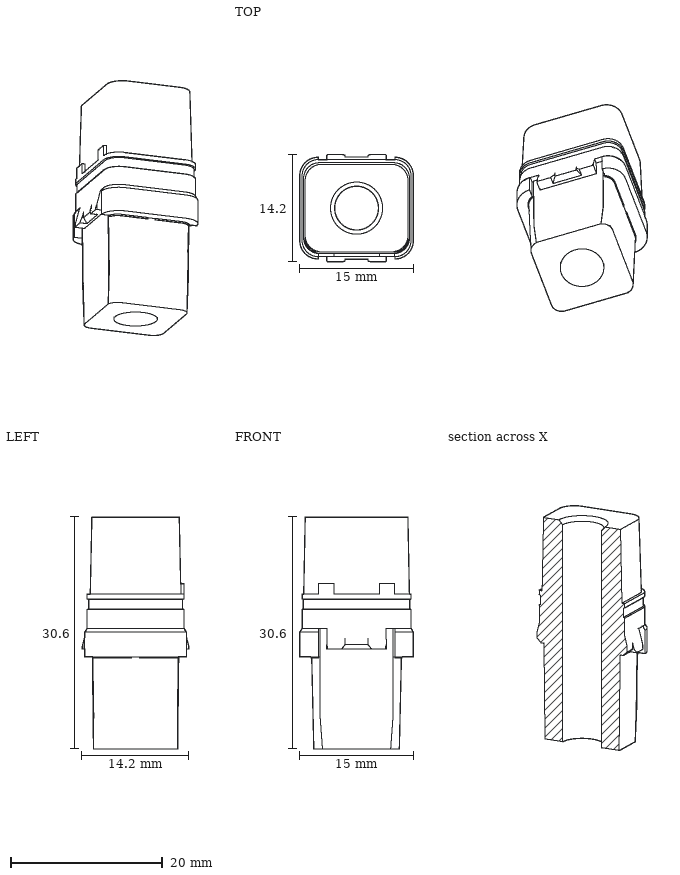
import cadquery as cq

HEAD_TOP = (13.57, 11.55, 2.17)
HEAD_BASE = (13.97, 11.98, 2.08)
BAND = (14.37, 12.8, 2.15)
GROOVE = (14.05, 12.4, 1.95)
SKIRT = (15.0, 13.45, 2.45)
TAIL_TOP = (11.85, 11.35, 1.45)
TAIL_BASE = (11.3, 11.13, 1.45)
COLLAR_LIP = 0.1

HEAD_TOP_Z = 30.57
BAND_TOP_Z = 20.42
GROOVE_TOP_Z = 19.8
GROOVE_BASE_Z = 18.4
GROOVE_WALL = 0.1
BAND_BASE_Z = 15.93
SKIRT_TOP_Z = 15.4
SKIRT_BASE_Z = 12.17
COLLAR_BASE_Z = 11.98

BORE_DIAMETER = 5.75
MOUTH_DIAMETER = 6.88
MOUTH_DEPTH = 0.6

PANEL_TOP_WIDTH = 9.65
PANEL_BASE_WIDTH = 9.0
PANEL_FLARE_Z = 4.6
PANEL_TOP_Y = 5.75
PANEL_BASE_Y = TAIL_BASE[1] / 2
OPENING_WIDTH = BAND[0] - 2 * BAND[2]

WEDGE_SPAN = 14.15
WEDGE_TIP_Y = WEDGE_SPAN / 2
WEDGE_TOP_WIDTH = 7.75
WEDGE_BASE_WIDTH = 7.9
WEDGE_BASE_Z = 13.18
WEDGE_LIP_Z = 13.4
WEDGE_EDGE_CHAMFER = 0.12

RELIEF_Y = 6.75
RELIEF_WIDTH = 3.0
RELIEF_FLARE_WIDTH = 3.97
RELIEF_FLARE_Z = 13.8
RELIEF_BACK_Y = 6.1

TAB_OUTER_X = 5.0
TAB_WIDTH = 2.02
TAB_TOP_Z = 21.83
COLLAR_GAP = 1.07


def grown(section, amount):
    """Offset a rounded-rectangle section outward on every side."""
    width, depth, radius = section
    return width + 2 * amount, depth + 2 * amount, radius + amount


def section_sketch(section):
    """Sketch of a (width, depth, corner radius) section."""
    width, depth, radius = section
    return cq.Sketch().rect(width, depth).vertices().fillet(radius)


def block(low_section, low_z, high_section, high_z):
    """Solid lofted between two rounded-rectangle sections."""
    return (
        cq.Workplane("XY")
        .workplane(offset=low_z)
        .placeSketch(
            section_sketch(low_section),
            section_sketch(high_section).moved(cq.Location(cq.Vector(0, 0, high_z - low_z))),
        )
        .loft()
    )


def box(x_range, y_range, z_range):
    """Box spanning the given (low, high) ranges."""
    low, high = zip(x_range, y_range, z_range)
    size = [b - a for a, b in zip(low, high)]
    return cq.Workplane("XY").box(*size, centered=False).translate(low)


def make_stack():
    """Head, grooved band, flared skirt, collar and tail, from top to bottom."""
    upper_wall_z = GROOVE_TOP_Z - GROOVE_WALL
    lower_wall_z = GROOVE_BASE_Z + GROOVE_WALL
    stack = block(HEAD_BASE, BAND_TOP_Z, HEAD_TOP, HEAD_TOP_Z)
    stack = stack.union(block(BAND, GROOVE_TOP_Z, BAND, BAND_TOP_Z))
    stack = stack.union(block(GROOVE, upper_wall_z, BAND, GROOVE_TOP_Z))
    stack = stack.union(block(GROOVE, lower_wall_z, GROOVE, upper_wall_z))
    stack = stack.union(block(BAND, GROOVE_BASE_Z, GROOVE, lower_wall_z))
    stack = stack.union(block(BAND, BAND_BASE_Z, BAND, GROOVE_BASE_Z))
    skirt = block(SKIRT, SKIRT_BASE_Z, SKIRT, SKIRT_TOP_Z)
    skirt = skirt.union(block(SKIRT, SKIRT_TOP_Z, BAND, BAND_BASE_Z))
    stack = stack.union(cut_openings(skirt))
    stack = stack.union(make_collar())
    return stack.union(block(TAIL_BASE, 0, TAIL_TOP, SKIRT_BASE_Z))


def cut_openings(skirt):
    """Open the skirt on both Y sides, down to the plane of the tail faces."""
    half_width = OPENING_WIDTH / 2
    inner_y = TAIL_TOP[1] / 2
    outer_y = WEDGE_TIP_Y
    x_range = (-half_width, half_width)
    z_range = (SKIRT_BASE_Z, BAND_BASE_Z)
    front = box(x_range, (-outer_y, -inner_y), z_range)
    back = box(x_range, (inner_y, outer_y), z_range)
    return skirt.cut(front).cut(back)


def make_collar():
    """Thin lip under the skirt, interrupted by the panels and in the middle of both X sides."""
    section = grown(TAIL_TOP, COLLAR_LIP)
    collar = block(section, COLLAR_BASE_Z, section, SKIRT_BASE_Z)
    z_range = (COLLAR_BASE_Z, SKIRT_BASE_Z)
    half_length, half_depth = section[0] / 2, section[1] / 2
    half_gap = COLLAR_GAP / 2
    half_opening = OPENING_WIDTH / 2
    side_gaps = box((-half_length, half_length), (-half_gap, half_gap), z_range)
    panel_gaps = box((-half_opening, half_opening), (-half_depth, half_depth), z_range)
    return collar.cut(side_gaps).cut(panel_gaps)


def make_panels():
    """Slab whose two drafted faces form the flat panels of the tail."""
    top = PANEL_TOP_WIDTH / 2
    base = PANEL_BASE_WIDTH / 2
    outline = (
        cq.Workplane("XZ")
        .polyline([
            (-base, 0), (base, 0), (top, PANEL_FLARE_Z),
            (top, BAND_BASE_Z), (-top, BAND_BASE_Z), (-top, PANEL_FLARE_Z),
        ])
        .close()
        .extrude(PANEL_TOP_Y, both=True)
    )
    profile = (
        cq.Workplane("YZ")
        .polyline([
            (-PANEL_BASE_Y, 0), (PANEL_BASE_Y, 0),
            (PANEL_TOP_Y, BAND_BASE_Z), (-PANEL_TOP_Y, BAND_BASE_Z),
        ])
        .close()
        .extrude(top, both=True)
    )
    return outline.intersect(profile)


def make_wedge():
    """Snap wedge on the -Y side with a flared relief in its middle."""
    root_y = TAIL_BASE[1] / 2
    start_y = BAND[1] / 2
    wedge = (
        cq.Workplane("YZ")
        .polyline([
            (-root_y, BAND_BASE_Z), (-start_y, BAND_BASE_Z), (-WEDGE_TIP_Y, WEDGE_LIP_Z),
            (-WEDGE_TIP_Y, WEDGE_BASE_Z), (-root_y, WEDGE_BASE_Z),
        ])
        .close()
        .extrude(WEDGE_BASE_WIDTH / 2, both=True)
    )
    top = WEDGE_TOP_WIDTH / 2
    base = WEDGE_BASE_WIDTH / 2
    drafted_front = (
        cq.Workplane("XZ")
        .polyline([(-base, WEDGE_BASE_Z), (base, WEDGE_BASE_Z), (top, BAND_BASE_Z), (-top, BAND_BASE_Z)])
        .close()
        .extrude(WEDGE_TIP_Y)
    )
    wedge = wedge.intersect(drafted_front)
    wedge = wedge.faces("<Y").edges("not |X").chamfer(WEDGE_EDGE_CHAMFER)

    half_relief = RELIEF_WIDTH / 2
    pocket = box(
        (-half_relief, half_relief), (-WEDGE_TIP_Y, -RELIEF_Y), (WEDGE_BASE_Z, BAND_BASE_Z)
    )
    half_flare = RELIEF_FLARE_WIDTH / 2
    flare = (
        cq.Workplane("XZ")
        .polyline([
            (-half_flare, WEDGE_BASE_Z), (half_flare, WEDGE_BASE_Z),
            (half_relief, RELIEF_FLARE_Z), (-half_relief, RELIEF_FLARE_Z),
        ])
        .close()
        .extrude(WEDGE_TIP_Y)
    )
    sloped_roof = (
        cq.Workplane("YZ")
        .polyline([
            (-RELIEF_BACK_Y, WEDGE_BASE_Z), (-RELIEF_Y, RELIEF_FLARE_Z),
            (-WEDGE_TIP_Y, RELIEF_FLARE_Z), (-WEDGE_TIP_Y, WEDGE_BASE_Z),
        ])
        .close()
        .extrude(half_flare, both=True)
    )
    return wedge.cut(pocket).cut(flare.intersect(sloped_roof))


def make_tabs():
    """Two upright tabs on the -Y face of the band."""
    y_range = (-BAND[1] / 2, -HEAD_TOP[1] / 2)
    z_range = (BAND_TOP_Z, TAB_TOP_Z)
    inner_x = TAB_OUTER_X - TAB_WIDTH
    right_tab = box((inner_x, TAB_OUTER_X), y_range, z_range)
    return right_tab.union(right_tab.mirror("YZ"))


def make_bore():
    """Through bore with a cone at the top."""
    bore_radius = BORE_DIAMETER / 2
    return (
        cq.Workplane("XZ")
        .polyline([
            (0, 0), (bore_radius, 0), (bore_radius, HEAD_TOP_Z - MOUTH_DEPTH),
            (MOUTH_DIAMETER / 2, HEAD_TOP_Z), (0, HEAD_TOP_Z),
        ])
        .close()
        .revolve(360, (0, 0, 0), (0, 1, 0))
    )


front_wedge = make_wedge()
body = make_stack().union(make_panels()).union(make_tabs())
body = body.union(front_wedge).union(front_wedge.mirror("XZ"))
result = body.cut(make_bore())